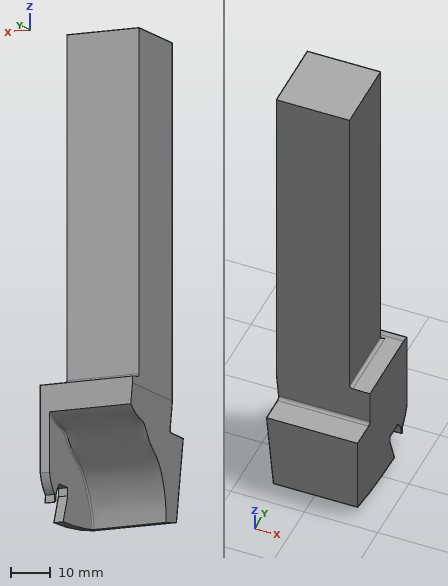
import cadquery as cq
import math

length = 124.0
head_width = 25.5
shank_side = 20.0
head_back = 23.8
head_front = -7.9

ledge_height = 34.2
ledge_edge_height = 33.7
ledge_slope_width = 2.2
front_step_height = 24.0
root_radius = 0.9

relief_start_height = 32.0
relief_angle = 5.0

blade_thickness = 2.6
blade_root_radius = 0.4
blade_face = head_width - blade_thickness

underside_front = (head_front, 2.6)
underside_middle = (6.1, 0.5)
blade_tip = (15.7, 0.0)

scallop_top = 27.5
clearance_base = (-2.0, -1.2)
scallop_waypoints = [
    (21.6, 25.3),
    (19.3, 24.4),
    (15.4, 23.3),
    (11.9, 20.0),
    (6.1, 16.1),
    (1.2, 10.4),
    clearance_base,
]

seat_front = 13.0
seat_back = 17.9
seat_roof = 9.3
seat_wall_base = 7.2
jaw_inner = (20.1, 4.5)
jaw_throat_middle = (19.2, 7.7)
jaw_tip = (21.0, 4.0)
jaw_outer = (20.7, 6.1)
jaw_back_middle = (22.6, 8.2)
jaw_back_height = 11.2


def make_shank():
    shank_length = length - front_step_height
    return (
        cq.Workplane("XY", origin=(0, 0, front_step_height))
        .box(shank_side, shank_side, shank_length, centered=False)
    )


def make_head():
    """Side profile of the head, including the insert seat, extruded across X."""
    return (
        cq.Workplane("YZ")
        .moveTo(*underside_front)
        .threePointArc(underside_middle, blade_tip)
        .lineTo(seat_front, seat_wall_base)
        .lineTo(seat_front, seat_roof)
        .lineTo(seat_back, seat_roof)
        .threePointArc(jaw_throat_middle, jaw_inner)
        .lineTo(*jaw_tip)
        .lineTo(*jaw_outer)
        .threePointArc(jaw_back_middle, (head_back, jaw_back_height))
        .lineTo(head_back, ledge_edge_height)
        .lineTo(head_back - ledge_slope_width, ledge_height)
        .lineTo(0, ledge_height)
        .lineTo(0, front_step_height)
        .lineTo(head_front, front_step_height)
        .close()
        .extrude(head_width)
    )


def make_blade_clearance():
    """Scalloped space that thins the lower back of the head to the blade."""
    behind = head_back + 1.0
    return (
        cq.Workplane("YZ")
        .moveTo(behind, clearance_base[1])
        .lineTo(behind, scallop_top)
        .spline(scallop_waypoints, includeCurrent=True)
        .close()
        .extrude(blade_face)
        .faces(">X")
        .edges("%BSPLINE")
        .fillet(blade_root_radius)
    )


def make_side_relief():
    """Wedge that slopes the head's left side inward toward the bottom."""
    inset = relief_start_height * math.tan(math.radians(relief_angle))
    return (
        cq.Workplane("XZ", origin=(0, head_back, 0))
        .polyline([(0, relief_start_height), (inset, 0), (0, 0)])
        .close()
        .extrude(head_back - head_front)
    )


holder = make_shank().union(make_head())


def edge_near(point):
    return holder.edges(cq.selectors.NearestToPointSelector(point))


root_edges = (
    edge_near((shank_side / 2, shank_side, ledge_height))
    .add(edge_near((shank_side, shank_side / 2, ledge_height)))
    .add(edge_near((head_width / 2, 0, front_step_height)))
)
holder = holder.newObject(root_edges.vals()).fillet(root_radius)

result = holder.cut(make_blade_clearance()).cut(make_side_relief())